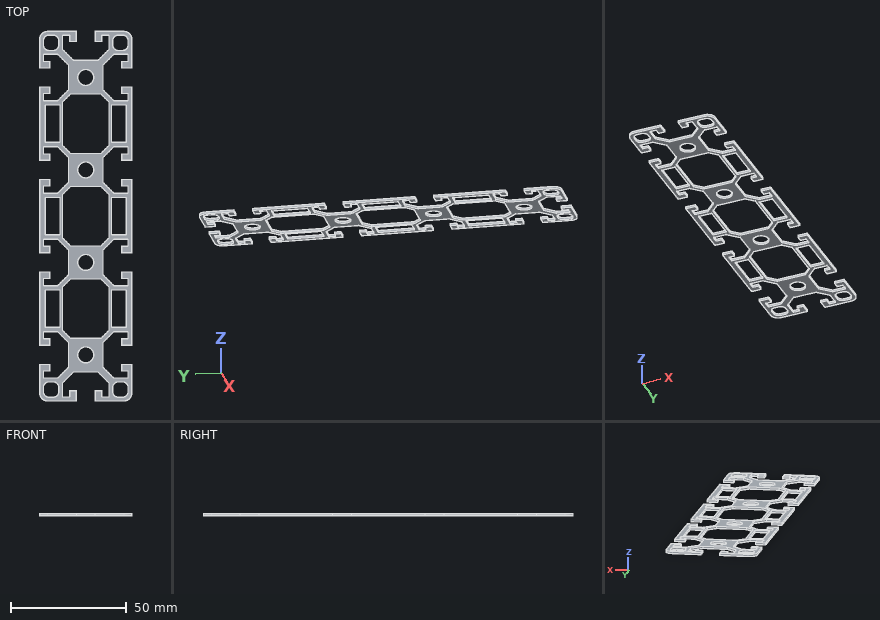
import cadquery as cq

MODULE = 40.0
MODULE_COUNT = 4
THICKNESS = 1.0
LENGTH = MODULE * MODULE_COUNT
CUTTER_HEIGHT = 2 * THICKNESS
CORNER_RADIUS = 3.5

MOUTH_HALF = 4.1
LIP_HALF = 7.0
SLOT_HALF = 10.0
SKIN = 1.8
LIP_DEPTH = 4.5
CORE_HALF = 7.5
SLOT_BEVEL = 4.63

CORE_HOLE_DIAMETER = 6.8
CORNER_HOLE_SIZE = 6.5
CORNER_HOLE_RADIUS = 2.25
CORNER_HOLE_OFFSET = 15.0

CHAMBER_WIDTH = 20.0
CHAMBER_LENGTH = 25.6
CHAMBER_BEVEL = 3.4
WINDOW_OUTER_X = 17.5
WINDOW_INNER_X = 11.2
WINDOW_LENGTH = 16.0

module_centers = [(i - (MODULE_COUNT - 1) / 2) * MODULE for i in range(MODULE_COUNT)]
chamber_centers = [y + MODULE / 2 for y in module_centers[:-1]]


def make_blank():
    """Plain bar slice with rounded outer corners."""
    blank = cq.Workplane("XY").box(MODULE, LENGTH, THICKNESS)
    return blank.edges("|Z").fillet(CORNER_RADIUS)


def make_t_slot(center_y, angle):
    """T-slot of one module; at angle 0 it opens toward +X."""
    face = MODULE / 2
    upper_half = [
        (face, MOUTH_HALF),
        (face - LIP_DEPTH, MOUTH_HALF),
        (face - LIP_DEPTH, LIP_HALF),
        (face - SKIN, LIP_HALF),
        (face - SKIN, SLOT_HALF),
        (CORE_HALF + SLOT_BEVEL, SLOT_HALF),
        (CORE_HALF, SLOT_HALF - SLOT_BEVEL),
    ]
    lower_half = [(x, -y) for x, y in reversed(upper_half)]
    slot = cq.Workplane("XY").polyline(upper_half + lower_half).close()
    slot = slot.extrude(CUTTER_HEIGHT / 2, both=True)
    return slot.rotate((0, 0, 0), (0, 0, 1), angle).translate((0, center_y, 0))


def cut_t_slots(body):
    """One slot per module on each long side and one on each short end."""
    for y in module_centers:
        body = body.cut(make_t_slot(y, 0))
        body = body.cut(make_t_slot(y, 180))
    body = body.cut(make_t_slot(module_centers[-1], 90))
    return body.cut(make_t_slot(module_centers[0], -90))


def cut_chambers(body):
    """Bevelled chamber between cores, flanked by a rectangular window on each side."""
    chamber = (
        cq.Workplane("XY")
        .box(CHAMBER_WIDTH, CHAMBER_LENGTH, CUTTER_HEIGHT)
        .edges("|Z")
        .chamfer(CHAMBER_BEVEL)
    )
    window = cq.Workplane("XY").box(WINDOW_OUTER_X - WINDOW_INNER_X, WINDOW_LENGTH, CUTTER_HEIGHT)
    window_x = (WINDOW_OUTER_X + WINDOW_INNER_X) / 2
    for y in chamber_centers:
        body = body.cut(chamber.translate((0, y, 0)))
        for side in (-1, 1):
            body = body.cut(window.translate((side * window_x, y, 0)))
    return body


def cut_core_holes(body):
    """Round through hole at the middle of every core."""
    points = [(0, y) for y in module_centers]
    drills = cq.Workplane("XY").pushPoints(points).circle(CORE_HOLE_DIAMETER / 2)
    drills = drills.extrude(CUTTER_HEIGHT / 2, both=True)
    return body.cut(drills)


def cut_corner_holes(body):
    """Rounded square through hole in each of the four outer corners."""
    hole = (
        cq.Workplane("XY")
        .box(CORNER_HOLE_SIZE, CORNER_HOLE_SIZE, CUTTER_HEIGHT)
        .edges("|Z")
        .fillet(CORNER_HOLE_RADIUS)
    )
    hole_y = module_centers[-1] + CORNER_HOLE_OFFSET
    for x in (-CORNER_HOLE_OFFSET, CORNER_HOLE_OFFSET):
        for y in (-hole_y, hole_y):
            body = body.cut(hole.translate((x, y, 0)))
    return body


result = make_blank()
result = cut_t_slots(result)
result = cut_chambers(result)
result = cut_core_holes(result)
result = cut_corner_holes(result)